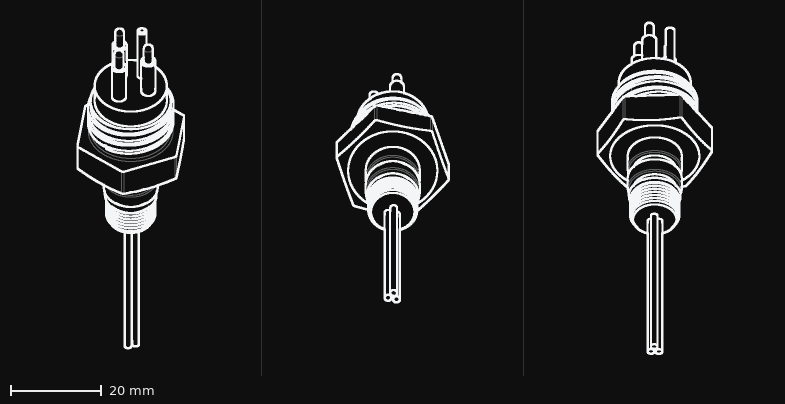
import cadquery as cq
import math

total_height = 95.3

hex_across_flats = 22.0
hex_bottom = 58.9
hex_top = 66.8
hex_corner_radius = 0.6
hex_chamfer_inner_dia = 19.6
hex_chamfer_angle = 20.0

neck_top = 76.4
neck_core_dia = 17.7
neck_groove_dia = 17.6
neck_thread_dia = 18.9
neck_lead_in = 0.6
neck_thread_bottom = 69.6
neck_root_fillet = 0.5
neck_pitch = 3.1
neck_groove_width = 1.5
neck_groove_start_height = 69.2
neck_groove_turns = 3

collar_dia = 11.9
stem_neck_dia = 9.4
upper_collar_bottom = 54.6
lower_collar_top = 52.4
lower_collar_bottom = 48.9
collar_edge = 0.3
stem_neck_bottom = 47.75

rim_dia = 11.4
rim_height = 46.9
ring_tip_dia = 10.9
ring_root_dia = 10.1
ring_pitch = 0.92
ring_count = 6
first_ring_height = 45.6
stem_end = 39.65
stem_end_dia = 9.5

insert_dia = 15.9
insert_top = 81.1
sleeve_dia = 3.1
sleeve_top = 90.4

pin_dia = 2.0
side_pin_x = 4.0
side_pin_y = 1.1
front_pin_y = -4.2
guide_pin_y = 4.0
guide_chamfer = 0.33
wire_dia = 1.5
side_wire_x = 1.0
side_wire_y = 0.5
front_wire_y = -1.0

contact_points = [(side_pin_x, side_pin_y), (0, front_pin_y), (-side_pin_x, side_pin_y)]
guide_point = (0, guide_pin_y)
wire_points = [(side_wire_x, side_wire_y), (0, front_wire_y), (-side_wire_x, side_wire_y)]


def cylinder(diameter, bottom, top, point=(0, 0)):
    """Upright cylinder between two heights."""
    return cq.Workplane("XY", origin=(*point, bottom)).circle(diameter / 2).extrude(top - bottom)


def revolved(outline):
    """Solid of revolution about Z from a closed (radius, height) outline."""
    return cq.Workplane("XZ").polyline(outline).close().revolve(360, (0, 0), (0, 1))


def make_flange():
    """Hexagon with rounded corners and a conical chamfer under its lower face."""
    corner_dia = hex_across_flats / math.cos(math.pi / 6)
    prism = (
        cq.Workplane("XY", origin=(0, 0, hex_bottom))
        .polygon(6, corner_dia)
        .extrude(hex_top - hex_bottom)
        .edges("|Z")
        .fillet(hex_corner_radius)
    )
    inner_radius = hex_chamfer_inner_dia / 2
    outer_radius = corner_dia / 2
    chamfer_rise = (outer_radius - inner_radius) * math.tan(math.radians(hex_chamfer_angle))
    chamfer_envelope = revolved([
        (0, hex_bottom),
        (inner_radius, hex_bottom),
        (outer_radius, hex_bottom + chamfer_rise),
        (outer_radius, hex_top),
        (0, hex_top),
    ])
    return prism.intersect(chamfer_envelope)


def make_neck():
    """Threaded neck with a lead-in cone, a relief at the foot and a flared root."""
    core_radius = neck_core_dia / 2
    thread_radius = neck_thread_dia / 2
    cone_rise = thread_radius - core_radius
    lead_in_top = neck_top - neck_lead_in
    body = (
        cq.Workplane("XZ")
        .moveTo(0, hex_top)
        .lineTo(core_radius + neck_root_fillet, hex_top)
        .radiusArc((core_radius, hex_top + neck_root_fillet), neck_root_fillet)
        .lineTo(core_radius, neck_thread_bottom - cone_rise)
        .lineTo(thread_radius, neck_thread_bottom)
        .lineTo(thread_radius, lead_in_top - cone_rise)
        .lineTo(core_radius, lead_in_top)
        .lineTo(core_radius, neck_top)
        .lineTo(0, neck_top)
        .close()
        .revolve(360, (0, 0), (0, 1))
    )
    groove_turn = make_groove_turn()
    for turn in range(neck_groove_turns):
        body = body.cut(groove_turn.translate((0, 0, turn * neck_pitch)))
    return body


def make_groove_turn():
    """Cutter for one right-handed turn of the groove, starting on the -Y side."""
    root_radius = neck_groove_dia / 2
    cutter_depth = neck_thread_dia - neck_groove_dia
    helix = cq.Wire.makeHelix(neck_pitch, neck_pitch, root_radius)
    cutter = (
        cq.Workplane("XZ")
        .center(root_radius + cutter_depth / 2, 0)
        .rect(cutter_depth, neck_groove_width)
        .sweep(cq.Workplane(obj=helix), isFrenet=True)
    )
    return cutter.rotate((0, 0, 0), (0, 0, 1), -90).translate((0, 0, neck_groove_start_height))


def make_stem():
    """Two collars with a seal groove between them and a short neck below."""
    upper_collar = cylinder(collar_dia, upper_collar_bottom, hex_bottom).faces("<Z").edges().fillet(collar_edge)
    lower_collar = cylinder(collar_dia, lower_collar_bottom, lower_collar_top).edges().fillet(collar_edge)
    core = cylinder(stem_neck_dia, stem_neck_bottom, hex_bottom)
    return core.union(upper_collar).union(lower_collar)


def make_ridged_end():
    """Sharp rim followed by V-shaped rings, with a chamfered end."""
    root_radius = ring_root_dia / 2
    rim_radius = rim_dia / 2
    outline = [
        (0, stem_neck_bottom),
        (stem_neck_dia / 2, stem_neck_bottom),
        (rim_radius, rim_height),
        (root_radius, rim_height - (rim_radius - root_radius)),
    ]
    for index in range(ring_count):
        tip = first_ring_height - index * ring_pitch
        outline.append((root_radius, tip + ring_pitch / 2))
        outline.append((ring_tip_dia / 2, tip))
    last_ring_height = first_ring_height - (ring_count - 1) * ring_pitch
    outline += [
        (root_radius, last_ring_height - ring_pitch / 2),
        (stem_end_dia / 2, stem_end),
        (0, stem_end),
    ]
    return revolved(outline)


def make_housing():
    """Flange, neck, stem and ridged end as one solid."""
    return make_flange().union(make_neck()).union(make_stem()).union(make_ridged_end())


def make_insert():
    """Disc with a sleeve round each contact pin, bored through for all four pins."""
    body = cylinder(insert_dia, neck_top, insert_top)
    for point in contact_points:
        body = body.union(cylinder(sleeve_dia, insert_top, sleeve_top, point))
    for point in [*contact_points, guide_point]:
        body = body.cut(cylinder(pin_dia, neck_top, total_height, point))
    return body


def make_contact_pin(point):
    """Straight pin with a rounded tip."""
    dome_base = total_height - pin_dia / 2
    shaft = cylinder(pin_dia, neck_top, dome_base, point)
    dome = cq.Workplane("XY", origin=(*point, dome_base)).sphere(pin_dia / 2)
    return shaft.union(dome)


def make_guide_pin():
    """Straight pin with a chamfered tip."""
    return cylinder(pin_dia, neck_top, total_height, guide_point).faces(">Z").chamfer(guide_chamfer)


def make_wire(point):
    """Straight wire hanging from the end of the housing."""
    return cylinder(wire_dia, 0, stem_end, point)


housing = make_housing()
insert = make_insert()
contact_pins = [make_contact_pin(point) for point in contact_points]
guide_pin = make_guide_pin()
wires = [make_wire(point) for point in wire_points]

result = cq.Compound.makeCompound([
    housing.val(),
    insert.val(),
    *[pin.val() for pin in contact_pins],
    guide_pin.val(),
    *[wire.val() for wire in wires],
])